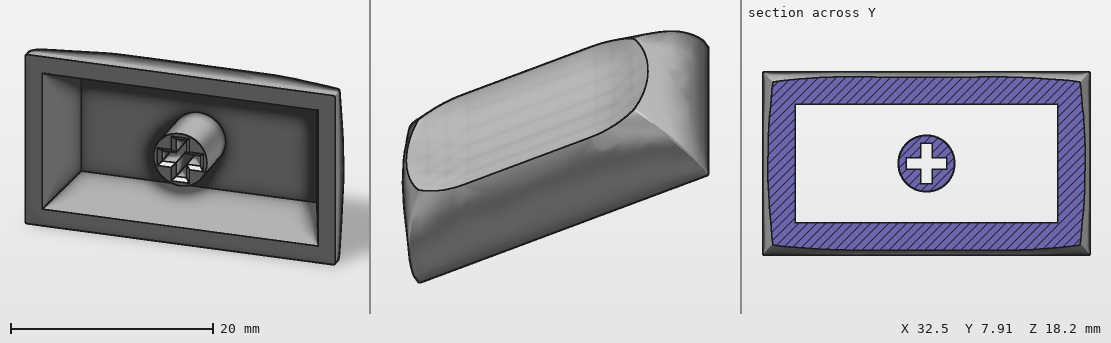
import cadquery as cq
import math


length = 32.45
width = 18.2
skirt_height = 1.0
corner_radius = 0.25
half_length = length / 2
half_width = width / 2
bulge_start = half_length - half_width

side_arc_radius = 9.65
corner_lean = 0.17
loft_top = 8.3
loft_sections = 5

dish_radius = 22.0
dish_floor = 6.77

wall = 1.8
cavity_depth = 5.7
cavity_inset = 2.1

stem_diameter = 5.6
cross_length = 4.0
cross_arm = 1.1
cross_lead_in = 0.4
cross_lead_in_depth = 0.35
cross_depth = cavity_depth


def plane_at(y):
    """Workplane parallel to XZ at height y; local axes are X and Z."""
    return cq.Workplane("XZ", origin=(0, y, 0))


def body_section(y):
    """Closed outline of the domed body at height y.

    The two ends are the halves of a square with bulging sides and small corner arcs,
    pulled apart along X. Each side arc is tangent to the corner arcs beside it.
    """
    rise = y - skirt_height
    inset = side_arc_radius - math.sqrt(side_arc_radius**2 - rise**2)
    half_side = half_width - inset
    sag = corner_lean * rise
    corner_setback = sag + corner_radius
    corner_center = half_side - corner_setback
    corner_tip = corner_center + corner_radius * math.sqrt(0.5)

    tangent_angle = 0
    along = corner_center / 2
    out = half_side
    if sag > 0:
        bulge_radius = (corner_center**2 + corner_setback**2 - corner_radius**2) / (2 * sag)
        tangent_angle = math.asin(corner_center / (bulge_radius - corner_radius))
        along = bulge_radius * math.sin(tangent_angle / 2)
        out = half_side - bulge_radius * (1 - math.cos(tangent_angle / 2))
    near = corner_center + corner_radius * math.sin(tangent_angle)
    far = corner_center + corner_radius * math.cos(tangent_angle)

    def add_side(outline, middle, end):
        return outline.threePointArc(middle, end) if sag > 0 else outline.lineTo(*end)

    x_near = bulge_start + near
    x_far = bulge_start + far
    x_tip = bulge_start + corner_tip
    x_side = bulge_start + half_side
    x_mid = bulge_start + along

    outline = plane_at(y).moveTo(-bulge_start, half_side)
    for sign in (1, -1):
        outline = outline.lineTo(sign * bulge_start, sign * half_side)
        outline = add_side(outline, (sign * x_mid, sign * out), (sign * x_near, sign * far))
        outline = outline.threePointArc((sign * x_tip, sign * corner_tip), (sign * x_far, sign * near))
        outline = add_side(outline, (sign * x_side, 0), (sign * x_far, -sign * near))
        outline = outline.threePointArc((sign * x_tip, -sign * corner_tip), (sign * x_near, -sign * far))
        outline = add_side(outline, (sign * x_mid, -sign * out), (sign * bulge_start, -sign * half_side))
    return outline.close().val()


def body():
    step = (loft_top - skirt_height) / (loft_sections - 1)
    sections = [body_section(skirt_height + i * step) for i in range(loft_sections)]
    dome = cq.Workplane(cq.Solid.makeLoft(sections))
    skirt = plane_at(0).rect(length, width).extrude(-skirt_height).edges("|Y").fillet(corner_radius)
    return skirt.union(dome)


def dish():
    """Capsule-shaped cutter above the top, revolved about its own long axis."""
    capsule_end = bulge_start + dish_radius
    diagonal = dish_radius * math.sqrt(0.5)
    axis_height = dish_floor + dish_radius
    return (
        cq.Workplane("XY", origin=(0, axis_height, 0))
        .moveTo(-capsule_end, 0)
        .threePointArc((-bulge_start - diagonal, -diagonal), (-bulge_start, -dish_radius))
        .lineTo(bulge_start, -dish_radius)
        .threePointArc((bulge_start + diagonal, -diagonal), (capsule_end, 0))
        .close()
        .revolve(360, (0, 0, 0), (1, 0, 0))
    )


def cavity():
    opening_length = length - 2 * wall
    opening_width = width - 2 * wall
    floor_length = opening_length - 2 * cavity_inset
    floor_width = opening_width - 2 * cavity_inset
    opening = plane_at(0).rect(opening_length, opening_width)
    floor = opening.workplane(offset=-cavity_depth).rect(floor_length, floor_width)
    return floor.loft(ruled=True)


def cross_outline(workplane, margin):
    """Plus-shaped outline, grown outwards by margin on every side."""
    tip = cross_length / 2 + margin
    arm = cross_arm / 2 + margin
    return workplane.polyline([
        (arm, tip), (arm, arm), (tip, arm),
        (tip, -arm), (arm, -arm), (arm, -tip),
        (-arm, -tip), (-arm, -arm), (-tip, -arm),
        (-tip, arm), (-arm, arm), (-arm, tip),
    ]).close()


def cross_socket():
    socket = cross_outline(plane_at(0), 0).extrude(-cross_depth)
    mouth = cross_outline(plane_at(0), cross_lead_in)
    lead_in = cross_outline(mouth.workplane(offset=-cross_lead_in_depth), 0).loft(ruled=True)
    return socket.union(lead_in)


def stem():
    return plane_at(0).circle(stem_diameter / 2).extrude(-cavity_depth)


shell = body().cut(dish()).cut(cavity())
result = shell.union(stem()).cut(cross_socket())
result = cq.Workplane(result.solids().val())